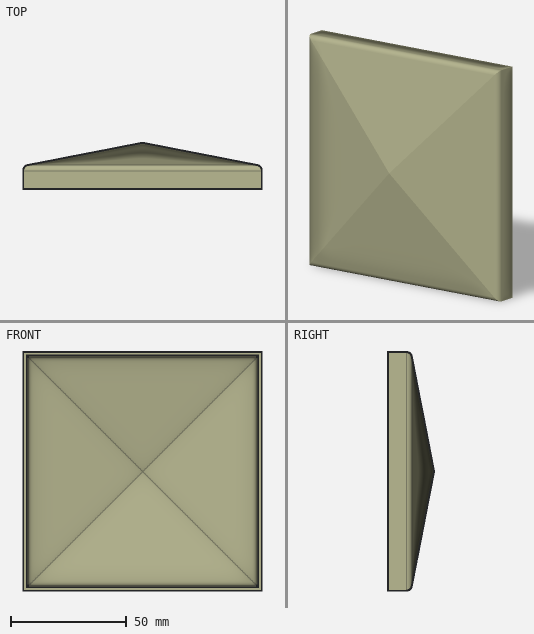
import cadquery as cq
import math

width = 103.0
skirt_height = 10.0
total_height = 20.0
eave_radius = 2.5
wall = 1.5

roof_pitch = math.atan2(total_height - skirt_height, width / 2)


def gable_prism(offset):
    """Gabled bar along Z, with every face moved inward by offset except the rim."""
    half_width = width / 2 - offset
    apex_height = total_height - offset / math.cos(roof_pitch)
    eave_height = apex_height - half_width * math.tan(roof_pitch)
    radius = eave_radius - offset

    mid_angle = (math.pi / 2 - roof_pitch) / 2
    tangent_length = radius * math.tan(mid_angle)
    arc_start_height = eave_height - tangent_length
    arc_center_x = half_width - radius
    arc_middle = (
        arc_center_x + radius * math.cos(mid_angle),
        arc_start_height + radius * math.sin(mid_angle),
    )
    arc_end = (
        arc_center_x + radius * math.sin(roof_pitch),
        arc_start_height + radius * math.cos(roof_pitch),
    )

    return (
        cq.Workplane("XY")
        .moveTo(0, 0)
        .lineTo(half_width, 0)
        .lineTo(half_width, arc_start_height)
        .threePointArc(arc_middle, arc_end)
        .lineTo(0, apex_height)
        .close()
        .mirrorY()
        .extrude(half_width, both=True)
    )


def pyramid_block(offset):
    """Square block with a pyramid roof, where two crossing gabled bars overlap."""
    bar_along_z = gable_prism(offset)
    bar_along_x = bar_along_z.rotate((0, 0, 0), (0, 1, 0), 90)
    return bar_along_z.intersect(bar_along_x)


outer_body = pyramid_block(0)
cavity = pyramid_block(wall)
result = outer_body.cut(cavity)